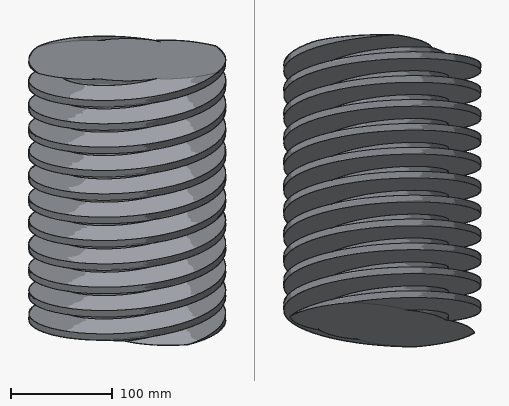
import cadquery as cq
import math

LENGTH = 270.0
CREST_DIAMETER = 194.0
ROOT_DIAMETER = 130.7
STARTS = 2
TWIST = 2008.0
CREST_WIDTH = 6.8
ROOT_WIDTH = 6.8
TOP_RIDGE_ANGLE = 54.0

CREST_RADIUS = CREST_DIAMETER / 2
ROOT_RADIUS = ROOT_DIAMETER / 2
LEAD = 360.0 * LENGTH / TWIST
BASE_RIDGE_ANGLE = TOP_RIDGE_ANGLE - TWIST
SECTOR = 360.0 / STARTS
CREST_ANGLE = 360.0 * CREST_WIDTH / LEAD
ROOT_ANGLE = 360.0 * ROOT_WIDTH / LEAD
FLANK_ANGLE = (SECTOR - CREST_ANGLE - ROOT_ANGLE) / 2


def polar(radius, degrees):
    """Point at the given radius and direction."""
    angle = math.radians(degrees)
    return (radius * math.cos(angle), radius * math.sin(angle))


def add_arc(outline, radius, start, sweep):
    """Continue the outline along an arc around the axis."""
    return outline.threePointArc(polar(radius, start + sweep / 2), polar(radius, start + sweep))


def add_flank(outline, start_radius, end_radius, start):
    """Continue along a spiral: the cross-section of a straight thread flank."""

    def spiral(t):
        return polar(start_radius + t * (end_radius - start_radius), start + t * FLANK_ANGLE)

    return outline.parametricCurve(spiral, N=12, start=0, stop=1, makeWire=False)


def thread_section():
    """Horizontal section of the whole screw at its base."""
    angle = BASE_RIDGE_ANGLE - CREST_ANGLE / 2
    outline = cq.Workplane("XY").moveTo(*polar(CREST_RADIUS, angle))
    for _ in range(STARTS):
        outline = add_arc(outline, CREST_RADIUS, angle, CREST_ANGLE)
        angle += CREST_ANGLE
        outline = add_flank(outline, CREST_RADIUS, ROOT_RADIUS, angle)
        angle += FLANK_ANGLE
        outline = add_arc(outline, ROOT_RADIUS, angle, ROOT_ANGLE)
        angle += ROOT_ANGLE
        outline = add_flank(outline, ROOT_RADIUS, CREST_RADIUS, angle)
        angle += FLANK_ANGLE
    return outline.wire()


result = thread_section().twistExtrude(LENGTH, TWIST)